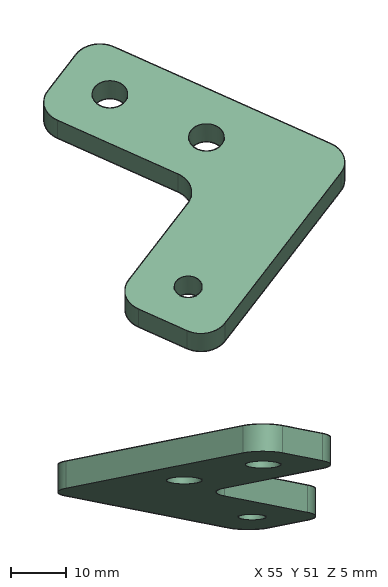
import cadquery as cq

length = 55.0
depth = 51.0
thickness = 5.0
arm_width = 20.0
corner_radius = 5.0

large_hole_diameter = 6.4
small_hole_diameter = 5.0
large_hole_spacing = 20.0
small_hole_end_distance = 9.0

inner_x = length - arm_width
inner_y = depth - arm_width
plate = (
    cq.Workplane("XY")
    .moveTo(0, depth)
    .lineTo(length, depth)
    .lineTo(length, 0)
    .lineTo(inner_x, 0)
    .lineTo(inner_x, inner_y)
    .lineTo(0, inner_y)
    .close()
    .extrude(thickness)
)

plate = plate.edges("|Z").fillet(corner_radius)


def drill(body, diameter, centers):
    """Cut vertical through holes at the given centers."""
    cutters = cq.Workplane("XY").pushPoints(centers).circle(diameter / 2).extrude(thickness)
    return body.cut(cutters)


first_hole_x = arm_width / 2
back_arm_center_y = depth - arm_width / 2
right_arm_center_x = length - arm_width / 2
large_hole_centers = [
    (first_hole_x, back_arm_center_y),
    (first_hole_x + large_hole_spacing, back_arm_center_y),
]
plate = drill(plate, large_hole_diameter, large_hole_centers)
result = drill(plate, small_hole_diameter, [(right_arm_center_x, small_hole_end_distance)])